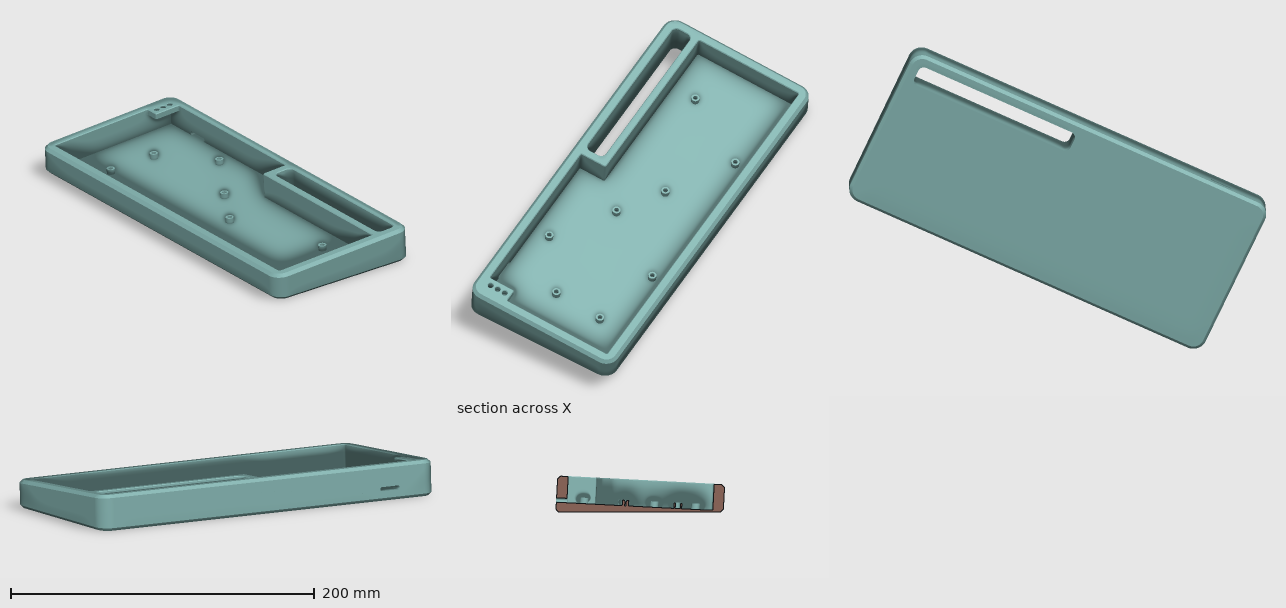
import cadquery as cq
import math

case_length = 258.0
case_width = 110.5
rear_height = 24.0
tilt = 3.0
corner_radius = 9.0
top_chamfer = 2.0
bottom_chamfer = 2.0

wall = 7.2
rim_chamfer = 0.5
pocket_corner_radius = 1.0
floor_thickness = 1.8
pocket_depth = 17.3
step_y = 29.1
lamp_step_x = -112.5
slot_step_x = 3.0

slot_left_x = 8.5
slot_front_y = 34.3
slot_corner_radius = 3.9

shelf_thickness = 4.0
lamp_diameter = 3.5
lamp_chamfer = 0.39
lamp_x = -117.5
lamp_middle_y = 39.0
lamp_pitch = 5.5

standoff_diameter = 5.5
standoff_hole_diameter = 3.0
standoff_height = 3.5
standoff_points = [
    (-91.8, -25.0),
    (-90.3, 9.5),
    (-54.7, 36.5),
    (-45.0, -37.0),
    (-14.0, 9.5),
    (16.8, -9.5),
    (60.9, -36.5),
    (89.5, 11.5),
]

port_middle_x = -93.0
port_width = 15.0
port_height = 2.5

half_length = case_length / 2
half_width = case_width / 2
pocket_right_x = half_length - wall
pocket_left_x = -pocket_right_x
pocket_rear_y = half_width - wall
pocket_front_y = -pocket_rear_y
rear_rise = (half_width - top_chamfer) * math.sin(math.radians(tilt))
middle_height = rear_height - rear_rise
cut_depth = 2 * rear_height
chamfer_angle = 45


def block(left, right, front, rear, bottom, top):
    """Box given by its limits along X, Y and Z."""
    box = cq.Workplane("XY").box(right - left, rear - front, top - bottom, centered=False)
    return box.translate((left, front, bottom))


def cylinders(points, diameter, base, height):
    """Equal upright cylinders standing at the given points."""
    plane = cq.Workplane("XY", origin=(0, 0, base))
    return plane.pushPoints(points).circle(diameter / 2).extrude(height)


def stand_up(tilted):
    """Turn a feature from the top-face frame into the standing position."""
    return tilted.rotate((0, 0, 0), (1, 0, 0), tilt).translate((0, 0, middle_height))


def keep_above(height, body):
    """Trim a body level at the given height."""
    return body.intersect(block(-case_length, case_length, -case_length, case_length, height, case_length))


def flare_rim(cutter):
    """Widen a cutter at the top face so that it leaves a chamfered rim."""
    rim = cutter.faces(">Z").wires().val().offset2D(rim_chamfer)
    flare = cq.Workplane("XY").add(rim).toPending().extrude(-rim_chamfer, taper=chamfer_angle)
    return cutter.union(flare)


def make_shell():
    shell = block(-half_length, half_length, -half_width, half_width, -cut_depth, 0)
    shell = shell.edges("|Z").fillet(corner_radius)
    shell = shell.faces(">Z").chamfer(top_chamfer)
    return keep_above(0, stand_up(shell))


def make_slot():
    slot = block(slot_left_x, pocket_right_x, slot_front_y, pocket_rear_y, -cut_depth, 0)
    slot = slot.edges("|Z").fillet(slot_corner_radius)
    return stand_up(flare_rim(slot))


def make_port():
    middle_z = -pocket_depth + port_height / 2
    start_y = pocket_rear_y - wall
    end_y = half_width + wall
    plane = cq.Workplane("XZ", origin=(port_middle_x, start_y, middle_z))
    return plane.slot2D(port_width, port_height).extrude(start_y - end_y)


def make_pocket():
    outline = [
        (pocket_left_x, pocket_front_y),
        (pocket_right_x, pocket_front_y),
        (pocket_right_x, step_y),
        (slot_step_x, step_y),
        (slot_step_x, pocket_rear_y),
        (lamp_step_x, pocket_rear_y),
        (lamp_step_x, step_y),
        (pocket_left_x, step_y),
    ]
    pocket = cq.Workplane("XY").polyline(outline).close().extrude(-pocket_depth)
    pocket = flare_rim(pocket.edges("|Z").fillet(pocket_corner_radius))
    overlap = 2 * pocket_corner_radius
    under_shelf = block(
        pocket_left_x,
        lamp_step_x + overlap,
        step_y - overlap,
        pocket_rear_y,
        -pocket_depth,
        -shelf_thickness,
    )
    pocket = stand_up(pocket.union(under_shelf).union(make_port()))
    return keep_above(floor_thickness, pocket)


def make_lamp_holes():
    points = [(lamp_x, lamp_middle_y + i * lamp_pitch) for i in (-1, 0, 1)]
    holes = cylinders(points, lamp_diameter, -2 * shelf_thickness, 2 * shelf_thickness)
    cones = (
        cq.Workplane("XY")
        .pushPoints(points)
        .circle(lamp_diameter / 2 + lamp_chamfer)
        .extrude(-lamp_chamfer, taper=chamfer_angle)
    )
    return stand_up(holes.union(cones))


def make_standoffs():
    root = floor_thickness / 2
    base = -pocket_depth - root
    return stand_up(cylinders(standoff_points, standoff_diameter, base, root + standoff_height))


def make_standoff_holes():
    return stand_up(cylinders(standoff_points, standoff_hole_diameter, -pocket_depth, standoff_height))


result = make_shell().faces("<Z").chamfer(bottom_chamfer)
result = result.cut(make_slot())
result = result.cut(make_pocket()).cut(make_lamp_holes())
result = result.union(make_standoffs()).cut(make_standoff_holes())